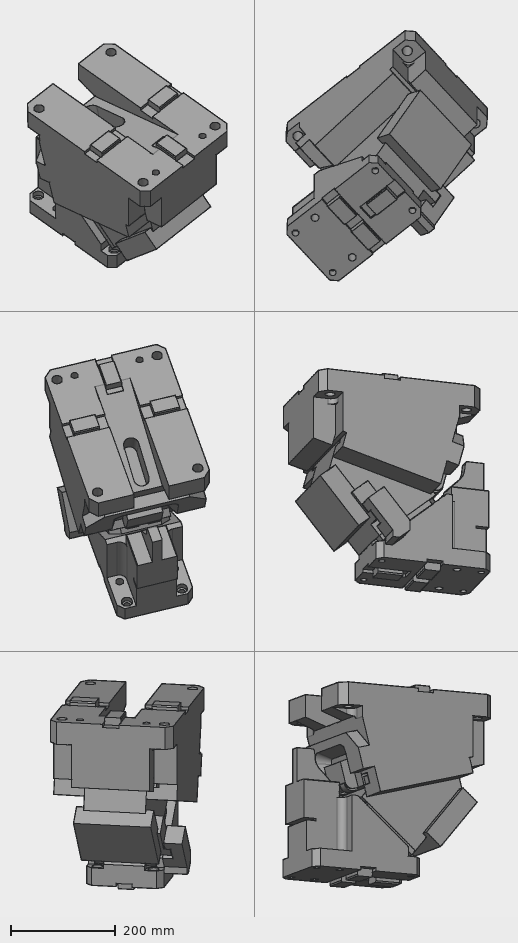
import cadquery as cq
import math

HOLDER_WIDTH = 240.0
PLATE_X0 = 39.8
PLATE_X1 = 365.0
PLATE_TOP = 363.0
PLATE_THICKNESS = 44.0
PLATE_BOTTOM = PLATE_TOP - PLATE_THICKNESS
PLATE_FRONT_CHAMFER = (15.5, 14.0)
PLATE_REAR_CHAMFER = (14.0, 14.0)
BLOCK_X0 = 85.2
BLOCK_X1 = 320.3
POCKET_RADIUS = 15.0
FRONT_POCKET_Y = 80.0
REAR_LUG_Y = 76.0
REAR_LUG_X0 = 327.0
REAR_LUG_Z0 = 225.5
REAR_FILLET_HEIGHT = 10.8
CHANNEL_WIDTH = 70.0
CHANNEL_FLOOR = 154.5
OVAL_X0, OVAL_X1 = 92.5, 189.7
OVAL_RADIUS = 15.0
OVAL_DEPTH = 48.5
PLATE_BOLT_X = (64.7, 339.3)
PLATE_BOLT_Y = 99.7
PLATE_BOLT_RADIUS = 9.5
DOWEL_Y = 64.7
DOWEL_RADIUS = 6.7

GUIDE_ANGLE = 15
GUIDE_ORIGIN = (123.5, 155.0)
GUIDE_LENGTH = 204.2
GUIDE_STEP_HEIGHT = 30.5
SLIDE_BACK_DROP = 27.5
TONGUE_HEIGHT = 81.5
SLIDE_WIDTH = 120.5
FRONT_LEDGE = 23.0
FLANGE_WIDTH = 157.7
FLANGE_TOP = 39.0
FLANGE_SETBACK = 3.7
T_SLOT_WIDTH = 167.5
T_SLOT_TOP = 44.0
APRON_DEPTH = 24.5
APRON_BOTTOM, APRON_TOP = 50.0, 127.0
APRON_CHAMFER = 35.5
OPENING_FRONT = (64.7, 109.5, 18.5)
OPENING_BACK = (49.0, 91.5, 9.3)
NOSE_BOTTOM = 22.7
NOSE_FRONT_TOP = 78.0
NOSE_RADIUS = 15.0
PAD_Y0, PAD_Y1 = 10.0, 32.0
PAD_TOP, PAD_BOTTOM = 36.5, 18.5
PAD_PROUD = 1.0
PAD_RADIUS = 17.0

SLOPE_ANGLE = 40
SLOPE_ORIGIN = (113.0, 154.5)
SOLE_LENGTH = 148.8
SOLE_THICKNESS = 37.2
SLIDE_END_HEIGHT = 31.0
HEAD_S0, HEAD_S1 = 138.5, 178.2
HEAD_TOP = 158.0
HEAD_WIDTH = 150.5

DRIVER_X0, DRIVER_X1 = 5.2, 234.7
DRIVER_WIDTH = 150.5
BASE_Z0, BASE_Z1 = 9.3, 44.0
BASE_CHAMFER = (12.3, 12.3)
BODY_TOP = 153.0
FRONT_POCKET_X = 84.5
REAR_POCKET_X = 205.0
PILLAR_X1 = 75.0
PILLAR_WIDTH = 80.5
PILLAR_TOP = 183.5
PILLAR_EDGE_CHAMFER = 1.5
SLIT_X1 = 25.5
SLIT_Z0, SLIT_Z1 = 103.8, 108.3
FIN_TOP = 249.2
FIN_WIDTH = 19.7
FIN_CORNER_RADIUS = 3.7
FIN_TOP_X1 = 37.0
FIN_HOLLOW = ((38.7, 230.5), (41.5, 220.2), (47.5, 212.0))
FIN_TOE_Z = 186.0
WEAR_THICKNESS = 11.5
WEAR_WIDTH = SLIDE_WIDTH
WEAR_CORNER = (18.5, 20.0)
BASE_BOLT_X = (19.7, 220.2)
BASE_BOLT_Y = 54.5
BASE_BOLT_RADIUS = 6.5
BASE_BORE_RADIUS = 10.5
BASE_BORE_DEPTH = 12.0
BASE_DOWEL_X = 69.0
BASE_DOWEL_RADIUS = 7.5

CLAW_S0, CLAW_S1 = 107.0, SOLE_LENGTH
CLAW_TOP = 66.0
CLAW_FRONT_BOTTOM = -15.3
CLAW_NOSE_Z = 53.5
CLAW_BOTTOM = (205.7, 36.5)
GROOVE_FLOOR, GROOVE_TOP = 15.5, 46.0
GROOVE_Y = 95.5
LIP_Y = 84.0
HOOK_WEB_Y = 81.5
HOOK_FLANGE_Y = 94.0
HOOK_BOTTOM = 26.5
HOOK_TOP = 96.7

KEY_WIDTH = 32.0
KEY_LENGTH = 50.2
KEY_PROUD = 9.0
KEY_SLOT_DEPTH = 6.5
KEY_EDGE = (1.5, 3.0)
TOP_KEY_X = 220.2
TOP_KEY_Y = 80.0
TOP_REAR_KEY_X = 319.0
TOP_REAR_SLOT_X0 = 282.7
BOTTOM_KEY_X = 119.8
BOTTOM_KEY_Y = 35.0
BOTTOM_REAR_KEY_X = 189.7

SIDES = (-1, 1)
LONG = 744.0

guide_cos = math.cos(math.radians(GUIDE_ANGLE))
guide_sin = math.sin(math.radians(GUIDE_ANGLE))
slope_cos = math.cos(math.radians(SLOPE_ANGLE))
slope_sin = math.sin(math.radians(SLOPE_ANGLE))


def guide(u, n):
    """X and Z of a point u along the guide incline and n above it."""
    return (GUIDE_ORIGIN[0] + u * guide_cos - n * guide_sin, GUIDE_ORIGIN[1] + u * guide_sin + n * guide_cos)


def slope(s, n):
    """X and Z of a point s down the driver slope and n above it."""
    return (SLOPE_ORIGIN[0] + s * slope_cos + n * slope_sin, SLOPE_ORIGIN[1] - s * slope_sin + n * slope_cos)


def prism(points, y0, y1):
    """Solid with an XZ outline, from y0 to y1."""
    return cq.Workplane("XZ", origin=(0, y1, 0)).polyline(points).close().extrude(y1 - y0)


def centred_prism(points, width):
    return prism(points, -width / 2, width / 2)


def box(x0, x1, y0, y1, z0, z1):
    return cq.Workplane("XY").box(x1 - x0, y1 - y0, z1 - z0, centered=False).translate((x0, y0, z0))


def cylinder(x, y, radius, z0, z1):
    return cq.Workplane("XY", origin=(x, y, z0)).circle(radius).extrude(z1 - z0)


def across_guide(u):
    """Plane across the guide at u: local x is Y, local y is the height above the guide."""
    x, z = guide(u, 0)
    return cq.Plane(origin=(x, 0, z), xDir=(0, 1, 0), normal=(guide_cos, 0, guide_sin))


def mirrored(side, y0, y1):
    """The Y range on the +Y side, or its mirror image on the -Y side."""
    return (y0, y1) if side > 0 else (-y1, -y0)


def chamfered_plate(x0, x1, width, z0, z1, front, rear):
    """Plate whose four vertical corners are cut; front and rear are (X, Y) cut sizes."""
    half = width / 2
    outline = [
        (x0, half - front[1]),
        (x0 + front[0], half),
        (x1 - rear[0], half),
        (x1, half - rear[1]),
    ]
    outline += [(x, -y) for x, y in reversed(outline)]
    return cq.Workplane("XY", origin=(0, 0, z0)).polyline(outline).close().extrude(z1 - z0)


def key(x, y, along_x, seat, face):
    """Key standing proud of a face: seat is the slot floor and face the outer end."""
    edge, height = KEY_EDGE
    half = KEY_WIDTH / 2
    shoulder = face - math.copysign(height, face - seat)
    profile = [
        (-half, seat),
        (half, seat),
        (half, shoulder),
        (half - edge, face),
        (edge - half, face),
        (-half, shoulder),
    ]
    bar = centred_prism(profile, KEY_LENGTH)
    if along_x:
        bar = bar.rotate((0, 0, 0), (0, 0, 1), 90)
    return bar.translate((x, y, 0))


def guide_block(u0, u1, n0, n1, width):
    """Block square to the guide, centred on Y."""
    return centred_prism([guide(u0, n0), guide(u0, n1), guide(u1, n1), guide(u1, n0)], width)


def slope_block(s0, s1, n0, n1, y0, y1):
    """Block square to the driver slope."""
    return prism([slope(s0, n0), slope(s0, n1), slope(s1, n1), slope(s1, n0)], y0, y1)


def holder_block():
    """Mounting plate, wedge-shaped guide block and the lug at the rear."""
    plate = chamfered_plate(
        PLATE_X0, PLATE_X1, HOLDER_WIDTH, PLATE_BOTTOM, PLATE_TOP, PLATE_FRONT_CHAMFER, PLATE_REAR_CHAMFER
    )
    guide_slope = guide_sin / guide_cos
    step_x, step_z = guide(GUIDE_LENGTH, GUIDE_STEP_HEIGHT)
    block = centred_prism(
        [
            (PLATE_X0, PLATE_BOTTOM),
            guide(0, CHANNEL_FLOOR),
            guide(0, 0),
            guide(GUIDE_LENGTH, 0),
            (step_x, step_z),
            (BLOCK_X1, step_z + (BLOCK_X1 - step_x) * guide_slope),
            (BLOCK_X1, PLATE_BOTTOM),
        ],
        HOLDER_WIDTH,
    )
    neck_z = REAR_LUG_Z0 + (REAR_LUG_X0 - BLOCK_X1) / guide_slope
    lug = centred_prism(
        [
            (BLOCK_X1, PLATE_BOTTOM),
            (BLOCK_X1, neck_z),
            (REAR_LUG_X0, REAR_LUG_Z0),
            (PLATE_X1, REAR_LUG_Z0 + (PLATE_X1 - REAR_LUG_X0) * guide_slope),
            (PLATE_X1, PLATE_BOTTOM),
        ],
        2 * REAR_LUG_Y,
    )
    for side in SIDES:
        y0, y1 = mirrored(side, FRONT_POCKET_Y, HOLDER_WIDTH)
        pocket = box(-LONG, BLOCK_X0, y0, y1, 0, PLATE_BOTTOM)
        inner = ">X and <Y" if side > 0 else ">X and >Y"
        block = block.cut(pocket.edges("|Z").edges(inner).fillet(POCKET_RADIUS))
        corner = REAR_LUG_Y + POCKET_RADIUS
        y0, y1 = mirrored(side, REAR_LUG_Y, corner)
        web = box(BLOCK_X1, BLOCK_X1 + POCKET_RADIUS, y0, y1, PLATE_BOTTOM - REAR_FILLET_HEIGHT, PLATE_BOTTOM)
        lug = lug.union(
            web.cut(cylinder(BLOCK_X1 + POCKET_RADIUS, side * corner, POCKET_RADIUS, 0, LONG))
        )
    return block.union(plate).union(lug)


def apron():
    """Plate standing off the inclined front face, with a tapered opening for the slide nose."""
    half = HOLDER_WIDTH / 2
    side_top = APRON_TOP - APRON_CHAMFER
    sheet = (
        cq.Workplane(across_guide(-APRON_DEPTH))
        .polyline(
            [
                (-half, APRON_BOTTOM),
                (half, APRON_BOTTOM),
                (half, side_top),
                (half - APRON_CHAMFER, APRON_TOP),
                (APRON_CHAMFER - half, APRON_TOP),
                (-half, side_top),
            ]
        )
        .close()
        .extrude(APRON_DEPTH)
    )
    wires = []
    for offset, (opening_half, top, radius) in ((-APRON_DEPTH, OPENING_FRONT), (0, OPENING_BACK)):
        arc = radius * (1 - math.sqrt(0.5))
        wires.append(
            cq.Workplane(across_guide(offset))
            .moveTo(-opening_half, 0)
            .lineTo(opening_half, 0)
            .lineTo(opening_half, top - radius)
            .threePointArc((opening_half - arc, top - arc), (opening_half - radius, top))
            .lineTo(radius - opening_half, top)
            .threePointArc((arc - opening_half, top - arc), (-opening_half, top - radius))
            .close()
            .wires()
            .val()
        )
    return sheet.cut(cq.Workplane(cq.Solid.makeLoft(wires, True)))


def top_channel():
    """Inclined channel in the top with an oval pocket square to its floor."""
    floor = centred_prism(
        [guide(-LONG, CHANNEL_FLOOR), guide(LONG, CHANNEL_FLOOR), guide(0, LONG)], CHANNEL_WIDTH
    )
    front = guide(0, CHANNEL_FLOOR)[0]
    u0, u1 = ((x - front) / guide_cos for x in (OVAL_X0, OVAL_X1))
    centre = guide((u0 + u1) / 2, CHANNEL_FLOOR)
    oval_plane = cq.Plane(
        origin=(centre[0], 0, centre[1]),
        xDir=(guide_cos, 0, guide_sin),
        normal=(-guide_sin, 0, guide_cos),
    )
    oval = cq.Workplane(oval_plane).slot2D(u1 - u0, 2 * OVAL_RADIUS).extrude(-OVAL_DEPTH)
    return floor.union(oval)


def make_holder():
    """Holder with its guide channel, key slots, keys and mounting holes."""
    body = holder_block().union(apron()).cut(top_channel())
    body = body.cut(guide_block(0, GUIDE_LENGTH, 0, TONGUE_HEIGHT, SLIDE_WIDTH))
    body = body.cut(guide_block(0, GUIDE_LENGTH, FRONT_LEDGE, T_SLOT_TOP, T_SLOT_WIDTH))
    slot_floor = PLATE_TOP - KEY_SLOT_DEPTH
    half = KEY_WIDTH / 2
    body = body.cut(box(TOP_KEY_X - half, TOP_KEY_X + half, -LONG, LONG, slot_floor, LONG))
    body = body.cut(box(TOP_REAR_SLOT_X0, LONG, -half, half, slot_floor, LONG))
    for side in SIDES:
        body = body.union(key(TOP_KEY_X, side * TOP_KEY_Y, False, slot_floor, PLATE_TOP + KEY_PROUD))
        for x in PLATE_BOLT_X:
            body = body.cut(cylinder(x, side * PLATE_BOLT_Y, PLATE_BOLT_RADIUS, PLATE_BOTTOM, LONG))
        body = body.cut(cylinder(PLATE_BOLT_X[1], side * DOWEL_Y, DOWEL_RADIUS, PLATE_BOTTOM, LONG))
    return body.union(key(TOP_REAR_KEY_X, 0, True, slot_floor, PLATE_TOP + KEY_PROUD))


def nose():
    """Rounded stop in the apron opening, with a pad on either side of the driver fin."""
    bar = centred_prism(
        [
            guide(-APRON_DEPTH, NOSE_BOTTOM),
            guide(-APRON_DEPTH, NOSE_FRONT_TOP),
            guide(0, TONGUE_HEIGHT),
            guide(0, NOSE_BOTTOM),
        ],
        CHANNEL_WIDTH,
    )
    bar = bar.edges("|Y").edges("<Z").fillet(NOSE_RADIUS)
    pad = guide_block(-APRON_DEPTH - PAD_PROUD, 0, PAD_BOTTOM, PAD_TOP, PAD_Y1 - PAD_Y0)
    pad = pad.edges("|Y").edges("<Z").fillet(PAD_RADIUS)
    for side in SIDES:
        bar = bar.union(pad.translate((0, side * (PAD_Y0 + PAD_Y1) / 2, 0)))
    return bar


def hooked_bar():
    """Bar with a flange on the +Y side of the slide."""
    inner = SLIDE_WIDTH / 2
    web = slope_block(CLAW_S0, SOLE_LENGTH, HOOK_BOTTOM, HOOK_TOP, inner, HOOK_WEB_Y)
    flange = slope_block(CLAW_S0, SOLE_LENGTH, HOOK_BOTTOM, GROOVE_TOP, inner, HOOK_FLANGE_Y)
    return web.union(flange)


def make_slide():
    """Slide: T-shaped tongue in the holder, wedge on the driver slope, and a wide rear head."""
    tongue = guide_block(0, GUIDE_LENGTH, FRONT_LEDGE, TONGUE_HEIGHT, SLIDE_WIDTH)
    flange = guide_block(FLANGE_SETBACK, GUIDE_LENGTH, FRONT_LEDGE, FLANGE_TOP, FLANGE_WIDTH)
    wedge = centred_prism(
        [
            guide(0, FRONT_LEDGE),
            slope(0, SLIDE_END_HEIGHT),
            slope(0, 0),
            slope(SOLE_LENGTH, 0),
            slope(SOLE_LENGTH, SOLE_THICKNESS),
            slope(HEAD_S0, SOLE_THICKNESS),
            slope(HEAD_S0, HEAD_TOP),
            guide(GUIDE_LENGTH, -SLIDE_BACK_DROP),
            guide(GUIDE_LENGTH, FRONT_LEDGE),
        ],
        SLIDE_WIDTH,
    )
    head = slope_block(HEAD_S0, HEAD_S1, SOLE_THICKNESS, HEAD_TOP, -HEAD_WIDTH / 2, HEAD_WIDTH / 2)
    return tongue.union(flange).union(wedge).union(head).union(nose()).union(hooked_bar())


def pillar():
    """Front pillar with its slit, topped by a thin profiled fin."""
    half = PILLAR_WIDTH / 2
    block = box(0, PILLAR_X1, -half, half, SLIT_Z0, PILLAR_TOP)
    block = block.edges("|X and >Z").chamfer(PILLAR_EDGE_CHAMFER)
    block = block.union(box(DRIVER_X0, FRONT_POCKET_X, -half, half, BASE_Z0, BODY_TOP))
    fin = (
        cq.Workplane("XZ", origin=(0, FIN_WIDTH / 2, 0))
        .moveTo(0, PILLAR_TOP)
        .lineTo(0, FIN_TOP)
        .lineTo(FIN_TOP_X1 - FIN_CORNER_RADIUS, FIN_TOP)
        .radiusArc((FIN_TOP_X1, FIN_TOP - FIN_CORNER_RADIUS), FIN_CORNER_RADIUS)
        .lineTo(*FIN_HOLLOW[0])
        .threePointArc(FIN_HOLLOW[1], FIN_HOLLOW[2])
        .lineTo(PILLAR_X1, FIN_TOE_Z)
        .lineTo(PILLAR_X1, PILLAR_TOP)
        .close()
        .extrude(FIN_WIDTH)
    )
    return block.union(fin)


def driver_body():
    """Chamfered base with the sloped body, cleared around the base bolts."""
    base = chamfered_plate(
        DRIVER_X0, DRIVER_X1, DRIVER_WIDTH, BASE_Z0, BASE_Z1, BASE_CHAMFER, BASE_CHAMFER
    )
    seat_s0 = (SLOPE_ORIGIN[1] - WEAR_THICKNESS * slope_cos - BODY_TOP) / slope_sin
    body = centred_prism(
        [
            (DRIVER_X0, BASE_Z0),
            (DRIVER_X0, BODY_TOP),
            slope(seat_s0, -WEAR_THICKNESS),
            slope(SOLE_LENGTH, -WEAR_THICKNESS),
            (DRIVER_X1, BASE_Z0),
        ],
        DRIVER_WIDTH,
    )
    half = PILLAR_WIDTH / 2
    for side in SIDES:
        y0, y1 = mirrored(side, half, DRIVER_WIDTH)
        near = "<Y" if side > 0 else ">Y"
        front = box(-LONG, FRONT_POCKET_X, y0, y1, BASE_Z1, LONG)
        rear = box(REAR_POCKET_X, LONG, y0, y1, BASE_Z1, LONG)
        body = body.cut(front.edges("|Z").edges(near).edges(">X").fillet(POCKET_RADIUS))
        body = body.cut(rear.edges("|Z").edges(near).edges("<X").fillet(POCKET_RADIUS))
        body = body.cut(box(-LONG, LONG, y0, y1, 0, BASE_Z1))
    spine_top = SLOPE_ORIGIN[1] - (DRIVER_X1 - SLOPE_ORIGIN[0]) * slope_sin / slope_cos
    spine = centred_prism(
        [
            slope(0, -WEAR_THICKNESS),
            slope(0, 0),
            (DRIVER_X1, spine_top),
            (DRIVER_X1, BASE_Z0),
            (FRONT_POCKET_X, BASE_Z0),
        ],
        PILLAR_WIDTH,
    )
    return base.union(body).union(spine)


def wear_plate():
    """Plate on the slope under the slide, its upper corners cut."""
    half = WEAR_WIDTH / 2
    length_cut, width_cut = WEAR_CORNER
    plane = cq.Plane(
        origin=(SLOPE_ORIGIN[0], 0, SLOPE_ORIGIN[1]),
        xDir=(slope_cos, 0, -slope_sin),
        normal=(slope_sin, 0, slope_cos),
    )
    outline = [(0, half - width_cut), (length_cut, half), (SOLE_LENGTH, half)]
    outline += [(s, -y) for s, y in reversed(outline)]
    return cq.Workplane(plane).polyline(outline).close().extrude(-WEAR_THICKNESS)


def return_claw():
    """Claw on the +Y side that closes round the flange of the hooked bar."""
    front_foot = slope(CLAW_S0, CLAW_FRONT_BOTTOM)
    rear_foot = slope(CLAW_S1, -WEAR_THICKNESS)
    claw = prism(
        [
            slope(CLAW_S0, CLAW_TOP),
            front_foot,
            (front_foot[0], CLAW_NOSE_Z),
            CLAW_BOTTOM,
            (rear_foot[0], CLAW_BOTTOM[1]),
            rear_foot,
            slope(CLAW_S1, CLAW_TOP),
        ],
        DRIVER_WIDTH / 2,
        HOLDER_WIDTH / 2,
    )
    groove = slope_block(0, LONG, GROOVE_FLOOR, GROOVE_TOP, 0, GROOVE_Y)
    mouth = slope_block(0, LONG, GROOVE_TOP, LONG, 0, LIP_Y)
    return claw.cut(groove).cut(mouth)


def make_driver():
    """Driver with its pillar, wear plate, return claw, keys and mounting holes."""
    body = driver_body().union(pillar()).union(wear_plate()).union(return_claw())
    body = body.cut(box(-LONG, SLIT_X1, -LONG, LONG, SLIT_Z0, SLIT_Z1))
    slot_floor = BASE_Z0 + KEY_SLOT_DEPTH
    half = KEY_WIDTH / 2
    body = body.cut(box(BOTTOM_KEY_X - half, BOTTOM_KEY_X + half, -LONG, LONG, 0, slot_floor))
    body = body.cut(box(BOTTOM_REAR_KEY_X - KEY_LENGTH / 2 - half, LONG, -half, half, 0, slot_floor))
    for side in SIDES:
        body = body.union(key(BOTTOM_KEY_X, side * BOTTOM_KEY_Y, False, slot_floor, 0))
        y = side * BASE_BOLT_Y
        for x in BASE_BOLT_X:
            body = body.cut(cylinder(x, y, BASE_BOLT_RADIUS, 0, BASE_Z1))
            body = body.cut(cylinder(x, y, BASE_BORE_RADIUS, BASE_Z1 - BASE_BORE_DEPTH, BASE_Z1))
        body = body.cut(cylinder(BASE_DOWEL_X, y, BASE_DOWEL_RADIUS, 0, BASE_Z1))
    return body.union(key(BOTTOM_REAR_KEY_X, 0, True, slot_floor, 0))


holder = make_holder()
slide = make_slide()
driver = make_driver()
result = cq.Compound.makeCompound([body.solids().val() for body in (holder, slide, driver)])